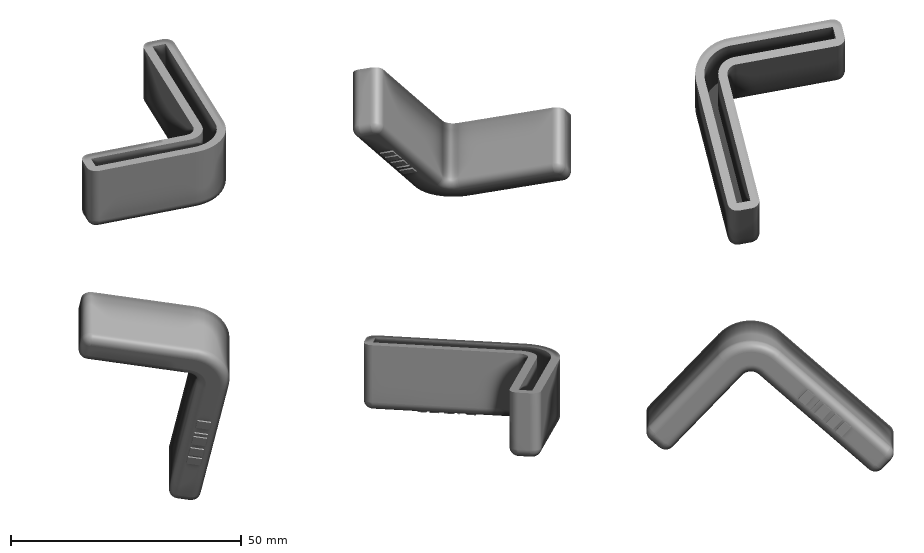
import cadquery as cq
import math

length_x = 44.0
length_y = 34.0
arm_width = 7.0
wall = 2.0
housing_height = 15.0
inner_bend_radius = 2.5
end_corner_radius = 2.1
bottom_edge_radius = 1.95
floor_thickness = wall

total_height = 15.35
pad_thickness = total_height - housing_height
pad_depth = arm_width - 2 * wall
pad_spans = [(11.9, 1.95), (14.48, 2.05), (17.7, 2.25), (20.9, 0.18), (22.65, 2.05)]

outer_bend_radius = arm_width + inner_bend_radius
bend_x = length_x - outer_bend_radius
bend_y = length_y - outer_bend_radius


def bent_strip(inset, bottom, height):
    """L-shaped prism whose sides lie a given inset inside the housing outline."""
    outer_radius = outer_bend_radius - inset
    inner_radius = inner_bend_radius + inset
    outer_mid = outer_radius * math.sqrt(0.5)
    inner_mid = inner_radius * math.sqrt(0.5)
    return (
        cq.Workplane("XY", origin=(0, 0, bottom))
        .moveTo(inset, bend_y + outer_radius)
        .lineTo(bend_x, bend_y + outer_radius)
        .threePointArc((bend_x + outer_mid, bend_y + outer_mid), (bend_x + outer_radius, bend_y))
        .lineTo(bend_x + outer_radius, inset)
        .lineTo(bend_x + inner_radius, inset)
        .lineTo(bend_x + inner_radius, bend_y)
        .threePointArc((bend_x + inner_mid, bend_y + inner_mid), (bend_x, bend_y + inner_radius))
        .lineTo(inset, bend_y + inner_radius)
        .close()
        .extrude(height)
    )


def make_housing():
    """Tray with rounded arm ends, a rounded bottom edge and a blind slot."""
    body = bent_strip(0, 0, housing_height)
    body = body.edges("|Z and <X").fillet(end_corner_radius)
    body = body.edges("|Z and <Y").fillet(end_corner_radius)
    body = body.faces("<Z").edges().fillet(bottom_edge_radius)
    slot = bent_strip(wall, floor_thickness, housing_height - floor_thickness)
    return body.cut(slot)


def make_pad(left, pad_length):
    """Flat pad under the housing floor, centred across the arm."""
    arm_centre_y = length_y - arm_width / 2
    return (
        cq.Workplane("XY", origin=(left, arm_centre_y, -pad_thickness))
        .box(pad_length, pad_depth, pad_thickness, centered=(False, True, False))
    )


housing = make_housing()
pads = [make_pad(left, pad_length) for left, pad_length in pad_spans]

result = cq.Compound.makeCompound([housing.val(), *[pad.val() for pad in pads]])